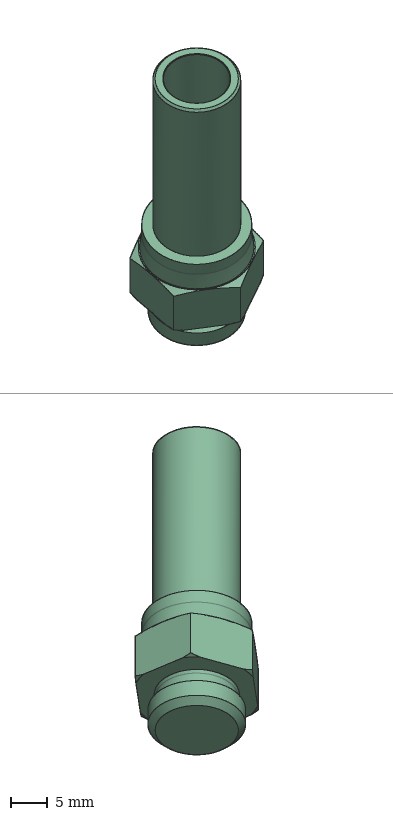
import cadquery as cq
import math

total_height = 47.1
plug_chamfer_top = 1.0
plug_top = 3.5
neck_bottom = 4.0
neck_top = 5.45
hex_bottom = 6.0
hex_top = 13.5
taper_top = 16.1
collar_top = 18.1

plug_radius = 6.65
neck_radius = 5.65
neck_flare_radius = 5.8
taper_radius = 7.75
collar_radius = 7.5
tube_radius = 6.0
tube_chamfer = 0.35

bore_radius = 4.5
bore_depth = total_height - collar_top
bore_chamfer = 0.1

across_flats = 16
corner_radius = across_flats / math.sqrt(3)
top_face_radius = 7.95
top_corner_drop = 0.5
bottom_face_radius = 8.65
bottom_corner_rise = 0.305


def revolve_profile(points):
    """Turn a closed (radius, height) outline around the Z axis."""
    return cq.Workplane("XZ").polyline(points).close().revolve(360, (0, 0, 0), (0, 1, 0))


def make_turned_body():
    return revolve_profile([
        (0, 0),
        (plug_radius - plug_chamfer_top, 0),
        (plug_radius, plug_chamfer_top),
        (plug_radius, plug_top),
        (neck_radius, neck_bottom),
        (neck_radius, neck_top),
        (neck_flare_radius, hex_bottom),
        (neck_flare_radius, hex_top),
        (taper_radius, hex_top),
        (collar_radius, taper_top),
        (collar_radius, collar_top),
        (tube_radius, collar_top),
        (tube_radius, total_height - tube_chamfer),
        (tube_radius - tube_chamfer, total_height),
        (0, total_height),
    ])


def make_hexagon():
    prism = (
        cq.Workplane("XY")
        .workplane(offset=hex_bottom)
        .polygon(6, 2 * corner_radius)
        .extrude(hex_top - hex_bottom)
    )
    envelope = revolve_profile([
        (0, hex_bottom),
        (bottom_face_radius, hex_bottom),
        (corner_radius, hex_bottom + bottom_corner_rise),
        (corner_radius, hex_top - top_corner_drop),
        (top_face_radius, hex_top),
        (0, hex_top),
    ])
    return prism.intersect(envelope)


def make_bore():
    return revolve_profile([
        (0, total_height - bore_depth),
        (bore_radius, total_height - bore_depth),
        (bore_radius, total_height - bore_chamfer),
        (bore_radius + bore_chamfer, total_height),
        (0, total_height),
    ])


result = make_turned_body().union(make_hexagon()).cut(make_bore())